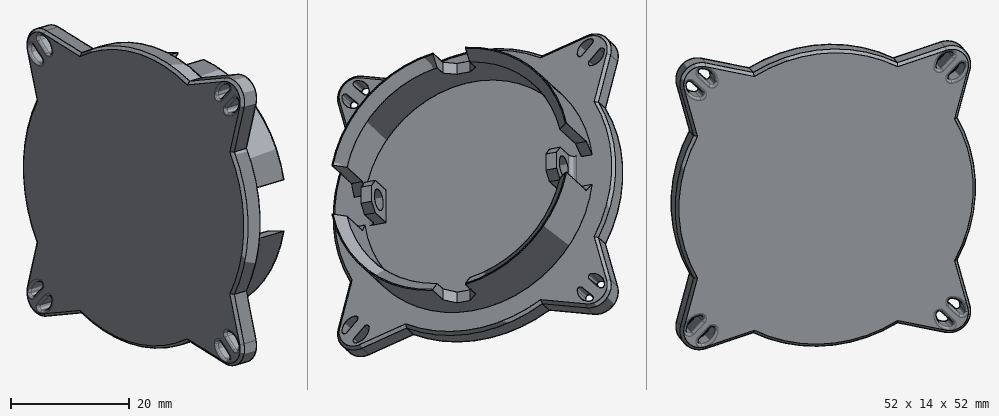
import cadquery as cq
import math

plate_radius = 26.0
plate_thickness = 4.0
plate_chamfer = 0.5
ear_offset = 21.65
ear_radius = 3.55
ear_root_offset = 12.5

slot_radius = 2.5
slot_bar_half_width = 0.95
slot_corner_radius = 0.5
slot_mouth_fillet = 0.45

overall_depth = 14.0
ring_radius = 22.05
ring_wall = 2.0
ring_rim_chamfer = 1.75
notch_chamfer = 1.75
narrow_notch_width = 6.0
narrow_notch_depth = 6.0
wide_notch_width = 9.0

lug_face_offset = 18.0
lug_thickness = 2.0
lug_width = 6.0
lug_height = 6.0
lug_corner_chamfer = 1.5
lug_hole_diameter = 3.65
lug_hole_height = 3.0
lug_fillet_radius = 1.0

ear_distance = ear_offset * math.sqrt(2)
ear_angles = (45, 135, 225, 315)


def back_plane(y):
    """XZ plane at depth y whose normal points towards +Y; its local x runs along -X."""
    return cq.Workplane(cq.Plane(origin=(0, y, 0), xDir=(-1, 0, 0), normal=(0, 1, 0)))


def ear_outline():
    """Kite from the axis to one ear: roots on the disc, edges tangent to the rounded tip."""
    root_z = math.sqrt(plate_radius**2 - ear_root_offset**2)
    to_root_x = ear_root_offset - ear_offset
    to_root_z = root_z - ear_offset
    root_distance = math.hypot(to_root_x, to_root_z)
    tangent_angle = math.atan2(to_root_z, to_root_x) - math.acos(ear_radius / root_distance)
    tangent_x = ear_offset + ear_radius * math.cos(tangent_angle)
    tangent_z = ear_offset + ear_radius * math.sin(tangent_angle)
    tip = ear_offset + ear_radius / math.sqrt(2)
    return (
        back_plane(0)
        .moveTo(0, 0)
        .lineTo(ear_root_offset, root_z)
        .lineTo(tangent_x, tangent_z)
        .threePointArc((tip, tip), (tangent_z, tangent_x))
        .lineTo(root_z, ear_root_offset)
        .close()
    )


def make_plate():
    plate = back_plane(0).circle(plate_radius).extrude(plate_thickness)
    ear = ear_outline().extrude(plate_thickness)
    for quarter in range(4):
        plate = plate.union(ear.rotate((0, 0, 0), (0, 1, 0), 90 * quarter))
    return plate.faces("<Y or >Y").chamfer(plate_chamfer)


def make_slot():
    """Half-moon prism: a circle segment with rounded corners, its flat side along X."""
    corner_z = slot_bar_half_width + slot_corner_radius
    corner_distance = slot_radius - slot_corner_radius
    corner_x = math.sqrt(corner_distance**2 - corner_z**2)
    rim_x = corner_x * slot_radius / corner_distance
    rim_z = corner_z * slot_radius / corner_distance
    middle_angle = (math.atan2(corner_z, corner_x) - math.pi / 2) / 2
    middle_x = corner_x + slot_corner_radius * math.cos(middle_angle)
    middle_z = corner_z + slot_corner_radius * math.sin(middle_angle)
    return (
        back_plane(0)
        .moveTo(-corner_x, slot_bar_half_width)
        .lineTo(corner_x, slot_bar_half_width)
        .threePointArc((middle_x, middle_z), (rim_x, rim_z))
        .threePointArc((0, slot_radius), (-rim_x, rim_z))
        .threePointArc((-middle_x, middle_z), (-corner_x, slot_bar_half_width))
        .close()
        .extrude(plate_thickness)
    )


def cut_slots(plate):
    """Cut a pair of slots into every ear and round their mouths on the front face."""
    slot = make_slot()
    pair = slot.union(slot.rotate((0, 0, 0), (0, 1, 0), 180))
    for angle in ear_angles:
        placed = pair.translate((ear_distance, 0, 0)).rotate((0, 0, 0), (0, 1, 0), angle)
        plate = plate.cut(placed)
    mouth_edges = [edge for wire in plate.faces("<Y").val().innerWires() for edge in wire.Edges()]
    return plate.newObject(mouth_edges).fillet(slot_mouth_fillet)


def notch_cutter(width, floor_y):
    """Bar along Z, open at the back and chamfered at its floor corners."""
    return (
        cq.Workplane("XY")
        .rect(width, 2 * (overall_depth - floor_y))
        .extrude(2 * ring_radius, both=True)
        .edges("|Z and <Y")
        .chamfer(notch_chamfer)
        .translate((0, overall_depth, 0))
    )


def make_ring():
    ring = (
        back_plane(plate_thickness)
        .circle(ring_radius)
        .circle(ring_radius - ring_wall)
        .extrude(overall_depth - plate_thickness)
        .faces(">Y")
        .edges(cq.selectors.RadiusNthSelector(0))
        .chamfer(ring_rim_chamfer)
    )
    narrow = notch_cutter(narrow_notch_width, overall_depth - narrow_notch_depth)
    wide = notch_cutter(wide_notch_width, plate_thickness)
    return ring.cut(narrow).cut(wide.rotate((0, 0, 0), (0, 1, 0), 90))


def make_lug():
    """Lug on the -X side: pierced upright tab with a fillet at the foot of its outer face."""
    outer_x = -lug_face_offset
    tab = (
        cq.Workplane("XY")
        .box(lug_thickness, lug_height, lug_width, centered=(False, False, True))
        .edges("|X and >Y")
        .chamfer(lug_corner_chamfer)
        .translate((outer_x, plate_thickness, 0))
    )
    foot = (
        cq.Workplane("XY")
        .moveTo(outer_x, plate_thickness)
        .lineTo(outer_x, plate_thickness + lug_fillet_radius)
        .radiusArc((outer_x - lug_fillet_radius, plate_thickness), lug_fillet_radius)
        .close()
        .extrude(lug_width / 2, both=True)
    )
    hole = (
        cq.Workplane("YZ", origin=(outer_x - lug_fillet_radius, 0, 0))
        .center(plate_thickness + lug_hole_height, 0)
        .circle(lug_hole_diameter / 2)
        .extrude(lug_fillet_radius + lug_thickness)
    )
    return tab.union(foot).cut(hole)


lug = make_lug()
result = (
    cut_slots(make_plate())
    .union(make_ring())
    .union(lug)
    .union(lug.mirror("YZ"))
)